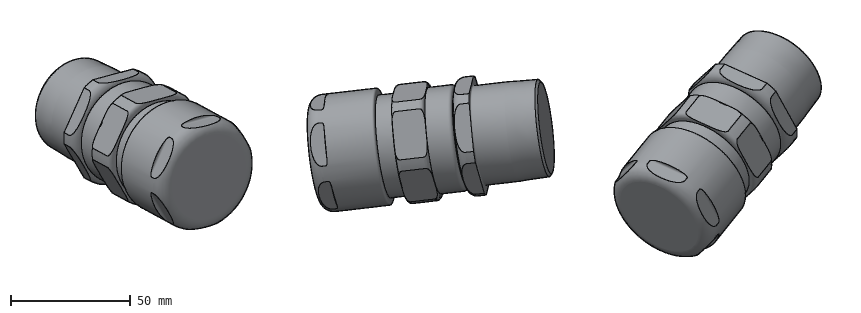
import cadquery as cq
import math


TOTAL_LENGTH = 98.3
FLAT_DISTANCE = 23.0
HEX_SIDES = 6
HEX_ROUND_RADIUS = 50.4 / 2

SPIGOT_FACE_RADIUS = 38.8 / 2
TAPER_START_RADIUS = 41.3 / 2
SPIGOT_RADIUS = 42.2 / 2
SPIGOT_CHAMFER_LENGTH = 1.0
TAPER_END_X = 13.7
SPIGOT_ROOT_FILLET = 0.4
ENTRY_HEX_START_X = 28.2
ENTRY_HEX_END_X = 35.7
ENTRY_HEX_ROUNDING = 3.9
STUB_RADIUS = 40.3 / 2

COLLAR_START_X = 36.2
COLLAR_RADIUS = 45.1 / 2
COLLAR_FILLET = 1.5
MIDDLE_HEX_START_X = 47.5
MIDDLE_HEX_END_X = 61.5
MIDDLE_HEX_ROUNDING = 2.0
NECK_RADIUS = 43.5 / 2

CAP_START_X = 68.8
CAP_RADIUS = 49.5 / 2
CAP_FRONT_FILLET = 0.9
CAP_END_FILLET = 5.7
POCKET_START_X = 90.2
POCKET_FILLET = 0.9


def cylinder(start_x, end_x, radius):
    """Solid cylinder on the X axis."""
    return cq.Workplane("YZ", origin=(start_x, 0, 0)).circle(radius).extrude(end_x - start_x)


def trim_to_hexagon(blank, start_x, end_x):
    """Cut a round blank down to six wrench flats, two of them facing +Z and -Z."""
    corner_diameter = 2 * FLAT_DISTANCE / math.cos(math.pi / HEX_SIDES)
    prism = (
        cq.Workplane("YZ", origin=(start_x, 0, 0))
        .polygon(HEX_SIDES, corner_diameter)
        .extrude(end_x - start_x)
    )
    return blank.intersect(prism)


def make_spigot():
    """Chamfered and tapered spigot that flares in a small fillet at the hexagon face."""
    flare_start_x = ENTRY_HEX_START_X - SPIGOT_ROOT_FILLET
    flare_radius = SPIGOT_RADIUS + SPIGOT_ROOT_FILLET
    arc_offset = SPIGOT_ROOT_FILLET * math.sqrt(0.5)
    flare_middle = (flare_start_x + arc_offset, flare_radius - arc_offset)
    return (
        cq.Workplane("XY")
        .moveTo(0, 0)
        .lineTo(0, SPIGOT_FACE_RADIUS)
        .lineTo(SPIGOT_CHAMFER_LENGTH, TAPER_START_RADIUS)
        .lineTo(TAPER_END_X, SPIGOT_RADIUS)
        .lineTo(flare_start_x, SPIGOT_RADIUS)
        .threePointArc(flare_middle, (ENTRY_HEX_START_X, flare_radius))
        .lineTo(ENTRY_HEX_START_X, 0)
        .close()
        .revolve(360, (0, 0, 0), (1, 0, 0))
    )


def make_entry_fitting():
    """Spigot and hexagon, with a stub that spans the gap to the middle body."""
    hex_blank = cylinder(ENTRY_HEX_START_X, ENTRY_HEX_END_X, HEX_ROUND_RADIUS)
    hex_blank = hex_blank.faces(">X").edges().fillet(ENTRY_HEX_ROUNDING)
    hexagon = trim_to_hexagon(hex_blank, ENTRY_HEX_START_X, ENTRY_HEX_END_X)
    stub = cylinder(ENTRY_HEX_END_X, COLLAR_START_X, STUB_RADIUS)
    return make_spigot().union(hexagon).union(stub)


def make_middle_body():
    """Collar with a rounded front edge, hexagon rounded at both ends, and neck."""
    collar = cylinder(COLLAR_START_X, MIDDLE_HEX_START_X, COLLAR_RADIUS)
    collar = collar.faces("<X").edges().fillet(COLLAR_FILLET)
    hex_blank = cylinder(MIDDLE_HEX_START_X, MIDDLE_HEX_END_X, HEX_ROUND_RADIUS)
    hex_blank = hex_blank.faces("<X or >X").edges().fillet(MIDDLE_HEX_ROUNDING)
    hexagon = trim_to_hexagon(hex_blank, MIDDLE_HEX_START_X, MIDDLE_HEX_END_X)
    neck = cylinder(MIDDLE_HEX_END_X, CAP_START_X, NECK_RADIUS)
    return collar.union(hexagon).union(neck)


def make_pocket_cutter():
    """Tool for the wrench pocket on the +Z side, with a filleted inner corner."""
    clearance = 1.0
    outer_z = CAP_RADIUS + clearance
    end_x = TOTAL_LENGTH + clearance
    arc_offset = POCKET_FILLET * (1 - math.sqrt(0.5))
    corner_middle = (POCKET_START_X + arc_offset, FLAT_DISTANCE + arc_offset)
    return (
        cq.Workplane("XZ")
        .moveTo(POCKET_START_X, outer_z)
        .lineTo(POCKET_START_X, FLAT_DISTANCE + POCKET_FILLET)
        .threePointArc(corner_middle, (POCKET_START_X + POCKET_FILLET, FLAT_DISTANCE))
        .lineTo(end_x, FLAT_DISTANCE)
        .lineTo(end_x, outer_z)
        .close()
        .extrude(CAP_RADIUS, both=True)
    )


def make_cap():
    """Round cap with a large end rounding and six wrench pockets at that end."""
    cap = cylinder(CAP_START_X, TOTAL_LENGTH, CAP_RADIUS)
    cap = cap.faces("<X").edges().fillet(CAP_FRONT_FILLET)
    cap = cap.faces(">X").edges().fillet(CAP_END_FILLET)
    cutter = make_pocket_cutter()
    for side in range(HEX_SIDES):
        angle = side * 360 / HEX_SIDES
        cap = cap.cut(cutter.rotate((0, 0, 0), (1, 0, 0), angle))
    return cap


entry_fitting = make_entry_fitting()
middle_body = make_middle_body()
cap = make_cap()

result = cq.Compound.makeCompound([entry_fitting.val(), middle_body.val(), cap.val()])